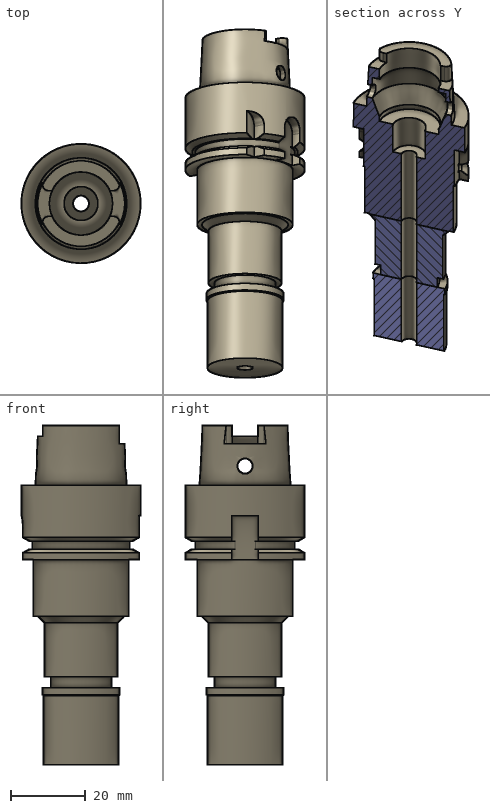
import cadquery as cq
import math

TOTAL_HEIGHT = 91.0
SKIRT_TOP = 18.6
NUT_TOP = 20.7
NECK_TOP = 23.6
SPINDLE_TOP = 39.8
FLANGE_BOTTOM = 55.0
FLANGE_TOP = 75.0

SKIRT_RADIUS = 10.1
NUT_RIM_RADIUS = 10.4

NECK_RADIUS = 8.2
SPINDLE_RADIUS = 9.8
SPINDLE_HEAD_RADIUS = 11.6

COLLAR_RADIUS = 12.8
FLANGE_RADIUS = 16.0
TAPER_TOP_RADIUS = 11.5
TAPER_RATE = 0.05
TAPER_BASE_RADIUS = TAPER_TOP_RADIUS + TAPER_RATE * (TOTAL_HEIGHT - FLANGE_TOP)

GROOVE_RADIUS = 13.4
GROOVE_LIP_RADIUS = 14.2
GROOVE_LOWER_EDGE = 56.8
GROOVE_UPPER_EDGE = 61.0
GROOVE_FLANK_ANGLE = 30.0
GROOVE_FLANK_HEIGHT = (FLANGE_RADIUS - GROOVE_LIP_RADIUS) * math.tan(math.radians(GROOVE_FLANK_ANGLE))

COOLANT_RADIUS = 2.1
TUBE_SEAT_RADIUS = 4.55
TUBE_SEAT_BOTTOM = 61.9
BORE_RADIUS = 8.5
BORE_BOTTOM = 71.0
UNDERCUT_RADIUS = 10.5
UNDERCUT_TOP = 84.6
UNDERCUT_BOTTOM = 78.0
UNDERCUT_CONE_ANGLE = 70.0
UNDERCUT_CONE_HEIGHT = (UNDERCUT_RADIUS - BORE_RADIUS) * math.tan(math.radians(UNDERCUT_CONE_ANGLE))

NOTCH_WIDTH = 6.9
NOTCH_RELIEF_X = 10.3
NOTCH_ROUND = 1.55
LEFT_NOTCH_DEPTH = 2.9
RIGHT_NOTCH_DEPTH = 4.9

CROSS_HOLE_DIAMETER = 4.0
CROSS_HOLE_HEIGHT = 80.1

SLOT_WIDTH = 7.0
SLOT_FLOOR_X = 13.1
SLOT_TOP = 67.1
SQUARE_SLOT_TOP = 66.8
SIDE_SLOT_Y = 12.8
SIDE_SLOT_FLOOR_X = 9.7


def revolve_profile(points):
    """Turn (radius, height) points around the Z axis."""
    return cq.Workplane("XZ").polyline(points).close().revolve(360, (0, 0, 0), (0, 1, 0))


def make_nut():
    """Plain skirt under a slightly wider rim, blended by a 45 degree chamfer."""
    return revolve_profile([
        (COOLANT_RADIUS, 0),
        (SKIRT_RADIUS, 0),
        (SKIRT_RADIUS, SKIRT_TOP),
        (NUT_RIM_RADIUS, SKIRT_TOP + NUT_RIM_RADIUS - SKIRT_RADIUS),
        (NUT_RIM_RADIUS, NUT_TOP),
        (COOLANT_RADIUS, NUT_TOP),
    ])


def make_spindle():
    """Stepped spindle, widening at 45 degrees up to the collar face."""
    cone_height = SPINDLE_HEAD_RADIUS - SPINDLE_RADIUS
    return revolve_profile([
        (COOLANT_RADIUS, NUT_TOP),
        (NECK_RADIUS, NUT_TOP),
        (NECK_RADIUS, NECK_TOP),
        (SPINDLE_RADIUS, NECK_TOP),
        (SPINDLE_RADIUS, SPINDLE_TOP - cone_height),
        (SPINDLE_HEAD_RADIUS, SPINDLE_TOP),
        (COOLANT_RADIUS, SPINDLE_TOP),
    ])


def make_holder_blank():
    """Collar, grooved flange and taper with the stepped, undercut bore."""
    return revolve_profile([
        (COOLANT_RADIUS, SPINDLE_TOP),
        (COLLAR_RADIUS, SPINDLE_TOP),
        (COLLAR_RADIUS, FLANGE_BOTTOM),
        (FLANGE_RADIUS, FLANGE_BOTTOM),
        (FLANGE_RADIUS, GROOVE_LOWER_EDGE),
        (GROOVE_LIP_RADIUS, GROOVE_LOWER_EDGE + GROOVE_FLANK_HEIGHT),
        (GROOVE_RADIUS, GROOVE_LOWER_EDGE + GROOVE_FLANK_HEIGHT),
        (GROOVE_RADIUS, GROOVE_UPPER_EDGE - GROOVE_FLANK_HEIGHT),
        (GROOVE_LIP_RADIUS, GROOVE_UPPER_EDGE - GROOVE_FLANK_HEIGHT),
        (FLANGE_RADIUS, GROOVE_UPPER_EDGE),
        (FLANGE_RADIUS, FLANGE_TOP),
        (TAPER_BASE_RADIUS, FLANGE_TOP),
        (TAPER_TOP_RADIUS, TOTAL_HEIGHT),
        (BORE_RADIUS, TOTAL_HEIGHT),
        (BORE_RADIUS, UNDERCUT_TOP),
        (UNDERCUT_RADIUS, UNDERCUT_TOP),
        (UNDERCUT_RADIUS, UNDERCUT_BOTTOM),
        (BORE_RADIUS, UNDERCUT_BOTTOM - UNDERCUT_CONE_HEIGHT),
        (BORE_RADIUS, BORE_BOTTOM),
        (TUBE_SEAT_RADIUS, BORE_BOTTOM),
        (TUBE_SEAT_RADIUS, TUBE_SEAT_BOTTOM),
        (COOLANT_RADIUS, TUBE_SEAT_BOTTOM),
    ])


def notch_cutter(side, depth):
    """Key notch on the +X (side = 1) or -X (side = -1) rim, flaring outward round the key corners."""
    half = NOTCH_WIDTH / 2
    relief_half = FLANGE_RADIUS / 2
    outer_x = FLANGE_RADIUS
    round_start_x = NOTCH_RELIEF_X - NOTCH_ROUND
    round_end_y = half + NOTCH_ROUND
    mid_offset = NOTCH_ROUND * (1 - math.sqrt(0.5))
    mid_x = NOTCH_RELIEF_X - mid_offset
    mid_y = half + mid_offset
    return (
        cq.Workplane("XY", origin=(0, 0, TOTAL_HEIGHT - depth))
        .moveTo(0, -half)
        .lineTo(side * round_start_x, -half)
        .threePointArc((side * mid_x, -mid_y), (side * NOTCH_RELIEF_X, -round_end_y))
        .lineTo(side * NOTCH_RELIEF_X, -relief_half)
        .lineTo(side * outer_x, -relief_half)
        .lineTo(side * outer_x, relief_half)
        .lineTo(side * NOTCH_RELIEF_X, relief_half)
        .lineTo(side * NOTCH_RELIEF_X, round_end_y)
        .threePointArc((side * mid_x, mid_y), (side * round_start_x, half))
        .lineTo(0, half)
        .close()
        .extrude(depth)
    )


def cross_hole_cutter():
    return (
        cq.Workplane("YZ", origin=(0, 0, CROSS_HOLE_HEIGHT))
        .circle(CROSS_HOLE_DIAMETER / 2)
        .extrude(FLANGE_RADIUS, both=True)
    )


def arched_slot_cutter(center_y, floor_x):
    """Round-topped slot milled from the -X side down to a flat floor at x = -floor_x."""
    radius = SLOT_WIDTH / 2
    spring_height = SLOT_TOP - radius
    return (
        cq.Workplane("YZ", origin=(-floor_x, 0, 0))
        .moveTo(center_y - radius, FLANGE_BOTTOM)
        .lineTo(center_y - radius, spring_height)
        .threePointArc((center_y, SLOT_TOP), (center_y + radius, spring_height))
        .lineTo(center_y + radius, FLANGE_BOTTOM)
        .close()
        .extrude(-FLANGE_RADIUS)
    )


def square_slot_cutter():
    """Square-topped slot on the +X side."""
    height = SQUARE_SLOT_TOP - FLANGE_BOTTOM
    return (
        cq.Workplane("XY", origin=(SLOT_FLOOR_X, 0, FLANGE_BOTTOM))
        .box(FLANGE_RADIUS, SLOT_WIDTH, height, centered=(False, True, False))
    )


def make_holder():
    cutters = [
        notch_cutter(-1, LEFT_NOTCH_DEPTH),
        notch_cutter(1, RIGHT_NOTCH_DEPTH),
        cross_hole_cutter(),
        arched_slot_cutter(0, SLOT_FLOOR_X),
        arched_slot_cutter(SIDE_SLOT_Y, SIDE_SLOT_FLOOR_X),
        square_slot_cutter(),
    ]
    holder = make_holder_blank()
    for cutter in cutters:
        holder = holder.cut(cutter)
    return holder


nut = make_nut()
spindle = make_spindle()
holder = make_holder()

result = cq.Compound.makeCompound([nut.val(), spindle.val(), holder.val()])